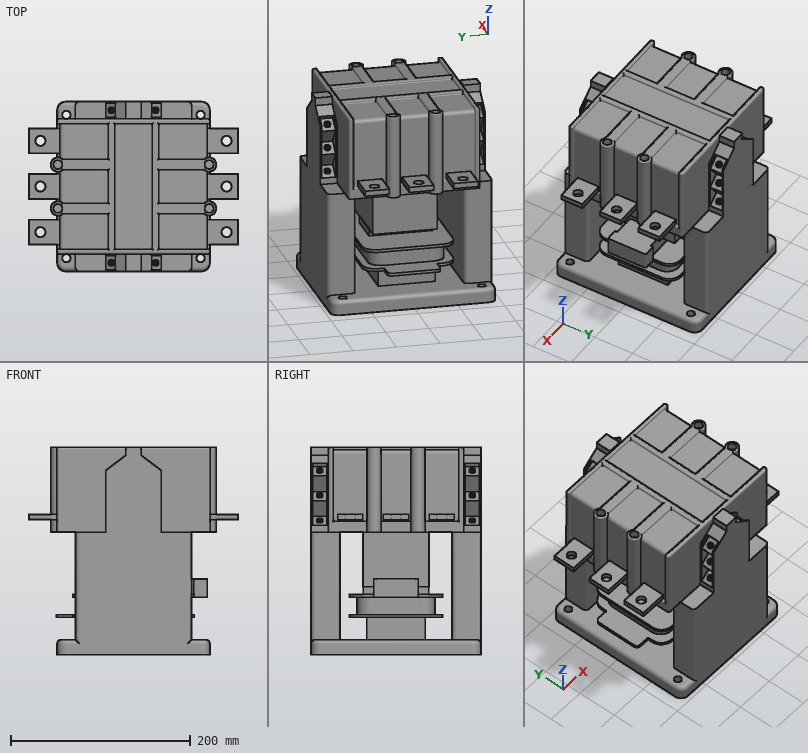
import cadquery as cq
import math

BASE_X = 171.0
BASE_Y = 190.0
BASE_H = 17.0
BASE_CORNER_R = 10.0
BASE_TOP_R = 5.0
MOUNT_HOLE_D = 9.0
MOUNT_HOLE_X = 75.0
MOUNT_HOLE_Y = 80.0

WALL_X = 130.0
WALL_T = 32.5
WALL_EDGE_R = 5.0

HOUSING_X = 171.0
HOUSING_Y = 151.0
HOUSING_Z0 = 137.0
TOP_Z = 232.0
HOUSING_H = TOP_Z - HOUSING_Z0
HOUSING_EDGE_R = 2.5

RECESS_DEPTH = 3.0
RIM_R = 1.0
FLOOR_R = 1.0
RIB_Y = 24.5
RIB_HALF_W = 5.0
END_RIM_Y = 71.0
SPINE_INNER_X = 22.0
SPINE_OUTER_X = 27.0
SKIRT_TOP_Z = 148.5
PANEL_END_Y = END_RIM_Y - RIM_R
PANEL_HALF_X = SPINE_INNER_X - RIM_R
CELL_X0 = SPINE_OUTER_X + RIM_R
CELL_Z0 = SKIRT_TOP_Z + RIM_R
CELL_EDGE_R = 4.5

PILLAR_X = 84.5
PILLAR_R = 8.0
PILLAR_TOP_R = 1.0
PILLAR_HOLE_R = 5.0
PILLAR_HOLE_DEPTH = 10.0

BLOCK_HALF_X = 31.0
BLOCK_TOP_HALF_X = 8.5
BLOCK_SHOULDER_Z = 206.0
BLOCK_NECK_Z = 223.0
SLOT_Y0 = 77.4
SLOT_Y1 = 93.2
TOOTH_COUNT = 3
TOOTH_PITCH = 27.8
TOOTH_LOWEST_Z = 144.5
SCREW_R = 3.5
SCREW_H = 1.5
SCREW_SLOT = (1.0, 6.0)
SCREW_SLOT_DEPTH = 1.0

LOWER_CORE = (98.0, 65.5)
UPPER_CORE = (83.0, 74.2)
CORE_NECK = (44.0, 73.2)
CORE_NECK_TOP_Z = 76.2
WINDING = (118.0, 87.2)
WINDING_R = 15.0
FLANGE = (136.0, 105.0)
FLANGE_R = 16.0
FLANGE_T = 3.2
LOWER_FLANGE_Z = 41.8
UPPER_FLANGE_Z = 64.3
TAB_END_X = 86.5
TAB_W = 61.0
TAB_R = 5.0
COIL_BLOCK_X0 = 67.5
COIL_BLOCK_X1 = 82.5
COIL_BLOCK_W = 50.0
COIL_BLOCK_TOP_Z = 85.0
COIL_BLOCK_R = 1.0
COIL_BLOCK_NECK_W = 44.0

TERMINAL_END_X = 117.0
TERMINAL_W = 28.0
TERMINAL_T = 6.0
TERMINAL_Z0 = 151.0
TERMINAL_PITCH = 51.0
TERMINAL_HOLE_X = 104.0
TERMINAL_HOLE_D = 11.0

CELL_FACE_X = HOUSING_X / 2 - RECESS_DEPTH
PANEL_Z = TOP_Z - RECESS_DEPTH
SIDES = (-1, 1)

SHOULDER_SLOPE = (BLOCK_NECK_Z - BLOCK_SHOULDER_Z) / (BLOCK_HALF_X - BLOCK_TOP_HALF_X)
TOOTH_DEPTH = TOOTH_PITCH / (SHOULDER_SLOPE + 1 / SHOULDER_SLOPE)
TOOTH_RISE = TOOTH_DEPTH * SHOULDER_SLOPE


def box(x0, x1, y0, y1, z0, z1):
    """Box between opposite corner coordinates."""
    return (
        cq.Workplane("XY")
        .box(x1 - x0, y1 - y0, z1 - z0, centered=False)
        .translate((x0, y0, z0))
    )


def centred_box(size_xy, z0, z1):
    """Box centred on the Z axis."""
    half_x = size_xy[0] / 2
    half_y = size_xy[1] / 2
    return box(-half_x, half_x, -half_y, half_y, z0, z1)


def make_base():
    plate = centred_box((BASE_X, BASE_Y), 0, BASE_H)
    plate = plate.edges("|Z").fillet(BASE_CORNER_R)
    return plate.faces(">Z").edges().fillet(BASE_TOP_R)


def make_wall(side):
    """Upright wall, flush with the base at its outer Y face."""
    wall = centred_box((WALL_X, WALL_T), 0, HOUSING_Z0)
    wall = wall.edges("|Z").fillet(WALL_EDGE_R)
    return wall.translate((0, side * (BASE_Y - WALL_T) / 2, 0))


def make_mount_holes():
    return (
        cq.Workplane("XY")
        .rect(2 * MOUNT_HOLE_X, 2 * MOUNT_HOLE_Y, forConstruction=True)
        .vertices()
        .circle(MOUNT_HOLE_D / 2)
        .extrude(BASE_H)
    )


def floor_border_selector(side, y0, y1):
    """Edges round the floor of a cell recess, without the tangent lines of its rounded corner."""
    tol = 0.1
    x_in = side * (CELL_X0 - tol)
    x_face = side * (CELL_FACE_X + tol)
    whole_floor = cq.selectors.BoxSelector(
        (x_in, y0 - tol, CELL_Z0 - tol),
        (x_face, y1 + tol, PANEL_Z + tol),
    )
    floor_interior = cq.selectors.BoxSelector(
        (side * (CELL_X0 + tol), y0 + tol, CELL_Z0 + tol),
        (x_face, y1 - tol, PANEL_Z + tol),
    )
    return whole_floor - floor_interior


def make_cell_recess(side, y0, y1):
    """L-shaped recess over the top and the outer X side of one pole."""
    x_in = side * CELL_X0
    x_out = side * HOUSING_X
    x_face = side * CELL_FACE_X
    x_arc = side * (CELL_FACE_X - CELL_EDGE_R)
    diagonal = CELL_EDGE_R * (1 - math.sqrt(0.5))
    arc_middle = (side * (CELL_FACE_X - diagonal), PANEL_Z - diagonal)
    profile = (
        cq.Workplane("XZ", origin=(0, y1, 0))
        .moveTo(x_in, PANEL_Z)
        .lineTo(x_arc, PANEL_Z)
        .threePointArc(arc_middle, (x_face, PANEL_Z - CELL_EDGE_R))
        .lineTo(x_face, CELL_Z0)
        .lineTo(x_out, CELL_Z0)
        .lineTo(x_out, 2 * TOP_Z)
        .lineTo(x_in, 2 * TOP_Z)
        .close()
    )
    recess = profile.extrude(y1 - y0)
    return recess.edges(floor_border_selector(side, y0, y1)).fillet(FLOOR_R)


def make_pillar(x, y):
    pillar = cq.Workplane("XY", origin=(x, y, HOUSING_Z0)).circle(PILLAR_R).extrude(HOUSING_H)
    return pillar.faces(">Z").edges().fillet(PILLAR_TOP_R)


def make_pillar_hole(x, y):
    hole_floor_z = TOP_Z - PILLAR_HOLE_DEPTH
    floor = cq.Workplane("XY", origin=(x, y, hole_floor_z))
    return floor.circle(PILLAR_HOLE_R).extrude(PILLAR_HOLE_DEPTH)


def rim_selector():
    """Edges of the recesses that lie in the top face or in the outer X faces."""
    tol = 0.1
    half_x = HOUSING_X / 2
    half_y = HOUSING_Y / 2 - HOUSING_EDGE_R
    outside = cq.selectors.BoxSelector(
        (-half_x - tol, -half_y, HOUSING_Z0 + tol),
        (half_x + tol, half_y, TOP_Z + tol),
    )
    inside = cq.selectors.BoxSelector(
        (-half_x + tol, -half_y, HOUSING_Z0 + tol),
        (half_x - tol, half_y, TOP_Z - tol),
    )
    return outside - inside


def make_housing():
    body = centred_box((HOUSING_X, HOUSING_Y), HOUSING_Z0, TOP_Z)
    centre_panel = centred_box((2 * PANEL_HALF_X, 2 * PANEL_END_Y), PANEL_Z, TOP_Z)
    body = body.cut(centre_panel.faces("<Z").edges().fillet(FLOOR_R))
    rib_wall = RIB_HALF_W + RIM_R
    cell_spans = (
        (-PANEL_END_Y, -RIB_Y - rib_wall),
        (-RIB_Y + rib_wall, RIB_Y - rib_wall),
        (RIB_Y + rib_wall, PANEL_END_Y),
    )
    for side in SIDES:
        for y0, y1 in cell_spans:
            body = body.cut(make_cell_recess(side, y0, y1))

    end_edges = body.faces("<Y or >Y").edges("not <Z")
    body = end_edges.fillet(HOUSING_EDGE_R)
    body = body.edges(rim_selector()).fillet(RIM_R)

    for side_x in SIDES:
        for side_y in SIDES:
            body = body.union(make_pillar(side_x * PILLAR_X, side_y * RIB_Y))
            body = body.cut(make_pillar_hole(side_x * PILLAR_X, side_y * RIB_Y))
    return body


def make_contact_block():
    """Block with shoulders and two sawtooth slots, built against the +Y end of the housing."""
    depth = (BASE_Y - HOUSING_Y) / 2
    right_half = [
        (BLOCK_HALF_X, HOUSING_Z0),
        (BLOCK_HALF_X, BLOCK_SHOULDER_Z),
        (BLOCK_TOP_HALF_X, BLOCK_NECK_Z),
        (BLOCK_TOP_HALF_X, TOP_Z),
    ]
    left_half = [(-x, z) for x, z in reversed(right_half)]
    block = (
        cq.Workplane("XZ", origin=(0, BASE_Y / 2, 0))
        .polyline(right_half + left_half)
        .close()
        .extrude(depth)
    )
    slot = make_tooth_slot()
    block = block.cut(slot)
    block = block.cut(slot.mirror("YZ"))
    for screw in make_screws():
        block = block.union(screw)
        block = block.union(screw.mirror("YZ"))
    return block


def make_tooth_slot():
    """Right-angled sawtooth slot on the +X side; its screw faces follow the shoulder slope."""
    points = [(2 * BLOCK_HALF_X, TOOTH_LOWEST_Z)]
    for i in range(TOOTH_COUNT):
        edge_z = TOOTH_LOWEST_Z + i * TOOTH_PITCH
        points.append((BLOCK_HALF_X, edge_z))
        points.append((BLOCK_HALF_X - TOOTH_DEPTH, edge_z + TOOTH_RISE))
    next_edge_z = TOOTH_LOWEST_Z + TOOTH_COUNT * TOOTH_PITCH
    points.append((BLOCK_HALF_X, next_edge_z))
    points.append((2 * BLOCK_HALF_X, next_edge_z))
    return (
        cq.Workplane("XZ", origin=(0, SLOT_Y1, 0))
        .polyline(points)
        .close()
        .extrude(SLOT_Y1 - SLOT_Y0)
    )


def make_screws():
    """Cross-slotted screw heads standing on the screw faces of the +X slot."""
    normal = cq.Vector(TOOTH_RISE, 0, TOOTH_DEPTH).normalized()
    screws = []
    for i in range(TOOTH_COUNT):
        centre = cq.Vector(
            BLOCK_HALF_X - TOOTH_DEPTH / 2,
            (SLOT_Y0 + SLOT_Y1) / 2,
            TOOTH_LOWEST_Z + i * TOOTH_PITCH + TOOTH_RISE / 2,
        )
        face = cq.Plane(origin=centre, xDir=(0, 1, 0), normal=normal)
        head = cq.Workplane(face).circle(SCREW_R).extrude(SCREW_H)
        slot_floor = cq.Workplane(face).workplane(offset=SCREW_H - SCREW_SLOT_DEPTH)
        for slot_size in (SCREW_SLOT, SCREW_SLOT[::-1]):
            head = head.cut(slot_floor.rect(*slot_size).extrude(SCREW_SLOT_DEPTH))
        screws.append(head)
    return screws


def make_flange(z):
    flange = centred_box(FLANGE, z, z + FLANGE_T)
    return flange.edges("|Z").fillet(FLANGE_R)


def make_core_and_coil():
    lower_flange_top = LOWER_FLANGE_Z + FLANGE_T
    upper_flange_top = UPPER_FLANGE_Z + FLANGE_T
    winding = centred_box(WINDING, lower_flange_top, UPPER_FLANGE_Z)
    tab = box(-TAB_END_X, 0, -TAB_W / 2, TAB_W / 2, LOWER_FLANGE_Z, lower_flange_top)
    coil_block = box(
        COIL_BLOCK_X0, COIL_BLOCK_X1,
        -COIL_BLOCK_W / 2, COIL_BLOCK_W / 2,
        UPPER_FLANGE_Z, COIL_BLOCK_TOP_Z,
    )
    coil_block_neck = box(
        0, COIL_BLOCK_X0,
        -COIL_BLOCK_NECK_W / 2, COIL_BLOCK_NECK_W / 2,
        UPPER_FLANGE_Z, COIL_BLOCK_TOP_Z,
    )
    parts = (
        centred_box(LOWER_CORE, BASE_H, LOWER_FLANGE_Z),
        make_flange(LOWER_FLANGE_Z),
        tab.edges("|Z and <X").fillet(TAB_R),
        winding.edges("|Z").fillet(WINDING_R),
        make_flange(UPPER_FLANGE_Z),
        coil_block.edges("|Z and >X").fillet(COIL_BLOCK_R),
        coil_block_neck,
        centred_box(CORE_NECK, upper_flange_top, CORE_NECK_TOP_Z),
        centred_box(UPPER_CORE, CORE_NECK_TOP_Z, HOUSING_Z0),
    )
    stack = parts[0]
    for part in parts[1:]:
        stack = stack.union(part)
    return stack


def make_contactor_body():
    """Base, walls, core, coil, housing and contact blocks as one solid."""
    contact_block = make_contact_block()
    body = make_base()
    for side in SIDES:
        body = body.union(make_wall(side))
    body = body.cut(make_mount_holes())
    body = body.union(make_core_and_coil())
    body = body.union(make_housing())
    body = body.union(contact_block)
    return body.union(contact_block.mirror("XZ"))


def make_terminal(side, y):
    """Flat terminal bar butting against the recessed side face of one pole."""
    bar = box(
        CELL_FACE_X, TERMINAL_END_X,
        -TERMINAL_W / 2, TERMINAL_W / 2,
        TERMINAL_Z0, TERMINAL_Z0 + TERMINAL_T,
    )
    hole = (
        cq.Workplane("XY", origin=(TERMINAL_HOLE_X, 0, TERMINAL_Z0))
        .circle(TERMINAL_HOLE_D / 2)
        .extrude(TERMINAL_T)
    )
    bar = bar.cut(hole)
    if side < 0:
        bar = bar.mirror("YZ")
    return bar.translate((0, y, 0))


contactor_body = make_contactor_body()
terminals = []
for side in SIDES:
    for row in (-1, 0, 1):
        terminals.append(make_terminal(side, row * TERMINAL_PITCH))

result = cq.Compound.makeCompound(
    [contactor_body.solids().val()] + [terminal.solids().val() for terminal in terminals]
)